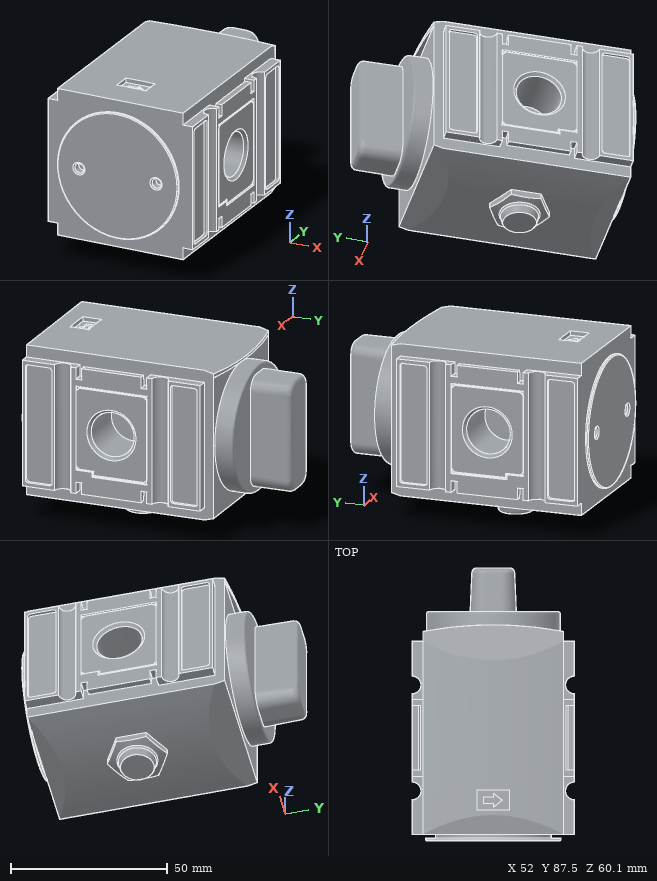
import cadquery as cq
import math


BODY_WIDTH = 45.15
BODY_DEPTH = 61.95
SIDE_HEIGHT = 50.9
DOME_HEIGHT = 54.25
DOME_FLAT_HALF_LENGTH = 24.8

COLLAR_LENGTH = 3.15
LIP_BOW = 2.1
LIP_BOTTOM_Z = 23.2

KNOB_BASE_DIAMETER = 43.0
KNOB_BASE_END_Y = 40.5
KNOB_BASE_ROUND = 0.8
GRIP_END_Y = 54.5
GRIP_HALF_HEIGHT = 19.0
GRIP_FLAT_HALF_WIDTH = 2.5
GRIP_ROOT_HALF_WIDTH = 7.4
GRIP_TIP_HALF_WIDTH = 6.8
GRIP_END_ROUND = 1.75

CAP_END_Y = -33.0
CAP_THICKNESS = 0.9
CAP_DIAMETER = 43.5
CAP_CHAMFER = 0.35
CAP_NECK_DIAMETER = 37.2
PIN_HOLE_SPACING = 27.7
PIN_HOLE_DIAMETER = 3.2
PIN_HOLE_CHAMFER = 0.5
PIN_HOLE_DEPTH = 3.1

PLATE_OUTER_WIDTH = 52.0
PLATE_HEIGHT = 42.7
GROOVE_RADIUS = 2.8
GROOVE_Y = 17.0
PANEL_WIDTH = 9.3
PANEL_HEIGHT = 40.1
PANEL_Y = 25.3
PANEL_DEPTH = 1.1
PANEL_CORNER_RADIUS = 1.05

TAB_HALF_LENGTH = 10.3
TAB_GAP_HALF_LENGTH = 12.3
TAB_ROOT_Z = 17.5
TAB_TIP_THICKNESS = 2.1
TAB_ROOT_THICKNESS = 2.7

PAD_HALF_WIDTH = 12.3
PAD_HALF_HEIGHT = 15.05
PAD_STEP_Y = -6.7
PAD_STEP_HEIGHT = 1.7
PAD_INSET = 0.5
PAD_STEP_INSET = 0.3
PAD_CORNER_CHAMFER = 1.05
PAD_SINK = 0.2
PAD_GROOVE_DEPTH = 0.7
PORT_DIAMETER = 15.0
PORT_CHAMFER = 1.05
PORT_DEPTH = 17.5

POCKET_WIDTH = 10.4
POCKET_LENGTH = 6.4
POCKET_Y = -19.95
POCKET_FLOOR_Z = 25.55
ARROW_DEPTH = 0.5
ARROW_TAIL_X = -3.15
ARROW_NECK_X = 0.1
ARROW_TIP_X = 2.9
ARROW_SHAFT_HALF_WIDTH = 1.05
ARROW_HEAD_HALF_WIDTH = 2.2

HEX_ACROSS_FLATS = 17.15
HEX_CHAMFER_TOP_RADIUS = 10.15
HEX_CHAMFER_TOP_Z = -28.7
PLUG_SHOULDER_RADIUS = 6.6
PLUG_SHOULDER_Z = -29.75
PLUG_ROOT_RADIUS = 6.1
PLUG_ROOT_Z = -30.45
PLUG_TIP_RADIUS = 5.4
PLUG_END_Z = -33.0
PLUG_TIP_CHAMFER_HEIGHT = 0.5
PLUG_TIP_CHAMFER_WIDTH = 0.3

HALF_WIDTH = BODY_WIDTH / 2
HALF_DEPTH = BODY_DEPTH / 2
HALF_SIDE = SIDE_HEIGHT / 2
HALF_DOME = DOME_HEIGHT / 2
PLATE_X = PLATE_OUTER_WIDTH / 2
COLLAR_END_Y = HALF_DEPTH + COLLAR_LENGTH


def block(x_range, y_range, z_range):
    """Axis-aligned box from its limits on each axis."""
    size = [high - low for low, high in (x_range, y_range, z_range)]
    low_corner = (x_range[0], y_range[0], z_range[0])
    return cq.Workplane("XY").box(*size, centered=False).translate(low_corner)


def cylinder_y(diameter, start_y, end_y):
    """Cylinder about the Y axis."""
    return cq.Workplane("XZ", origin=(0, start_y, 0)).circle(diameter / 2).extrude(start_y - end_y)


def make_body():
    """Body and collar: bowed top and bottom, with planes sloping down to the two ends."""
    slope = (HALF_DOME - HALF_SIDE) / (HALF_DEPTH - DOME_FLAT_HALF_LENGTH)
    collar_top = HALF_SIDE - slope * COLLAR_LENGTH
    lip_end = COLLAR_END_Y + LIP_BOW
    lip_top = HALF_SIDE - slope * (lip_end - HALF_DEPTH)

    side_outline = (
        cq.Workplane("YZ", origin=(-HALF_WIDTH, 0, 0))
        .polyline([
            (-HALF_DEPTH, -HALF_SIDE),
            (-DOME_FLAT_HALF_LENGTH, -HALF_DOME),
            (DOME_FLAT_HALF_LENGTH, -HALF_DOME),
            (COLLAR_END_Y, -collar_top),
            (COLLAR_END_Y, LIP_BOTTOM_Z),
            (lip_end, LIP_BOTTOM_Z),
            (lip_end, lip_top),
            (DOME_FLAT_HALF_LENGTH, HALF_DOME),
            (-DOME_FLAT_HALF_LENGTH, HALF_DOME),
            (-HALF_DEPTH, HALF_SIDE),
        ])
        .close()
        .extrude(BODY_WIDTH)
    )
    bowed_section = (
        cq.Workplane("XZ", origin=(0, -HALF_DEPTH, 0))
        .moveTo(-HALF_WIDTH, -HALF_SIDE)
        .threePointArc((0, -HALF_DOME), (HALF_WIDTH, -HALF_SIDE))
        .lineTo(HALF_WIDTH, HALF_SIDE)
        .threePointArc((0, HALF_DOME), (-HALF_WIDTH, HALF_SIDE))
        .close()
        .extrude(-(lip_end + HALF_DEPTH))
    )
    bowed_plan = (
        cq.Workplane("XY", origin=(0, 0, -HALF_DOME))
        .moveTo(-HALF_WIDTH, -HALF_DEPTH)
        .lineTo(HALF_WIDTH, -HALF_DEPTH)
        .lineTo(HALF_WIDTH, COLLAR_END_Y)
        .threePointArc((0, lip_end), (-HALF_WIDTH, COLLAR_END_Y))
        .close()
        .extrude(DOME_HEIGHT)
    )
    return side_outline.intersect(bowed_section).intersect(bowed_plan)


def make_grip():
    """Knob grip: its two broad sides draw in towards the end, and its corners are round."""
    def section(plane, half_width):
        radius = half_width - GRIP_FLAT_HALF_WIDTH
        side_z = GRIP_HALF_HEIGHT - radius
        reach = radius * math.sqrt(0.5)
        mid_x = GRIP_FLAT_HALF_WIDTH + reach
        mid_z = side_z + reach
        return (
            plane.moveTo(-GRIP_FLAT_HALF_WIDTH, GRIP_HALF_HEIGHT)
            .lineTo(GRIP_FLAT_HALF_WIDTH, GRIP_HALF_HEIGHT)
            .threePointArc((mid_x, mid_z), (half_width, side_z))
            .lineTo(half_width, -side_z)
            .threePointArc((mid_x, -mid_z), (GRIP_FLAT_HALF_WIDTH, -GRIP_HALF_HEIGHT))
            .lineTo(-GRIP_FLAT_HALF_WIDTH, -GRIP_HALF_HEIGHT)
            .threePointArc((-mid_x, -mid_z), (-half_width, -side_z))
            .lineTo(-half_width, side_z)
            .threePointArc((-mid_x, mid_z), (-GRIP_FLAT_HALF_WIDTH, GRIP_HALF_HEIGHT))
            .close()
        )

    root = section(cq.Workplane("XZ", origin=(0, KNOB_BASE_END_Y, 0)), GRIP_ROOT_HALF_WIDTH)
    tip_plane = root.workplane(offset=KNOB_BASE_END_Y - GRIP_END_Y)
    grip = section(tip_plane, GRIP_TIP_HALF_WIDTH).loft(ruled=True)
    return grip.faces(">Y").edges().fillet(GRIP_END_ROUND)


def make_knob():
    """Round knob base with a softened end edge, carrying the grip."""
    base = cylinder_y(KNOB_BASE_DIAMETER, HALF_DEPTH, KNOB_BASE_END_Y)
    base = base.faces(">Y").edges().fillet(KNOB_BASE_ROUND)
    return base.union(make_grip())


def make_end_cap():
    """Thin disc with a chamfered front edge, on a narrower neck."""
    disc_back_y = CAP_END_Y + CAP_THICKNESS
    neck = cylinder_y(CAP_NECK_DIAMETER, -HALF_DEPTH, disc_back_y)
    disc = cylinder_y(CAP_DIAMETER, disc_back_y, CAP_END_Y)
    disc = disc.faces("<Y").edges().chamfer(CAP_CHAMFER)
    return neck.union(disc)


def make_pin_holes():
    """Blind pin holes in the end cap, each with a conical mouth."""
    radius = PIN_HOLE_DIAMETER / 2
    mouth_radius = radius + PIN_HOLE_CHAMFER
    mouth = cq.Solid.makeCone(
        mouth_radius, radius, PIN_HOLE_CHAMFER, cq.Vector(0, CAP_END_Y, 0), cq.Vector(0, 1, 0)
    )
    hole = cylinder_y(PIN_HOLE_DIAMETER, CAP_END_Y, CAP_END_Y + PIN_HOLE_DEPTH).union(cq.Workplane(mouth))
    offset = PIN_HOLE_SPACING / 2
    return hole.translate((-offset, 0, 0)).union(hole.translate((offset, 0, 0)))


def make_tab_cuts():
    """Cuts that leave a clip tab at the upper edge of the -X plate."""
    top_z = PLATE_HEIGHT / 2
    cuts = (
        cq.Workplane("XZ", origin=(0, TAB_HALF_LENGTH, 0))
        .polyline([
            (-HALF_WIDTH, TAB_ROOT_Z),
            (-HALF_WIDTH, top_z),
            (-PLATE_X + TAB_TIP_THICKNESS, top_z),
            (-PLATE_X + TAB_ROOT_THICKNESS, TAB_ROOT_Z),
        ])
        .close()
        .extrude(2 * TAB_HALF_LENGTH)
    )
    for y_range in (
        (-TAB_GAP_HALF_LENGTH, -TAB_HALF_LENGTH),
        (TAB_HALF_LENGTH, TAB_GAP_HALF_LENGTH),
    ):
        cuts = cuts.union(block((-PLATE_X, -HALF_WIDTH), y_range, (TAB_ROOT_Z, top_z)))
    return cuts


def make_pad_pocket():
    """Sunk port pad in the -X plate, with a deeper groove along its upper and lower edges."""
    step_z = -PAD_HALF_HEIGHT + PAD_STEP_HEIGHT
    frame = (
        cq.Workplane("YZ", origin=(-PLATE_X, 0, 0))
        .polyline([
            (PAD_HALF_WIDTH, PAD_HALF_HEIGHT),
            (PAD_HALF_WIDTH, -PAD_HALF_HEIGHT),
            (PAD_STEP_Y, -PAD_HALF_HEIGHT),
            (PAD_STEP_Y, step_z),
            (-PAD_HALF_WIDTH, step_z),
            (-PAD_HALF_WIDTH, PAD_HALF_HEIGHT),
        ])
        .close()
        .extrude(PAD_GROOVE_DEPTH)
    )
    pad_top = PAD_HALF_HEIGHT - PAD_INSET
    pad_step_y = PAD_STEP_Y + PAD_INSET
    pad_step_z = step_z + PAD_STEP_INSET
    chamfered_y = PAD_HALF_WIDTH - PAD_CORNER_CHAMFER
    pad = (
        cq.Workplane("YZ", origin=(-PLATE_X + PAD_SINK, 0, 0))
        .polyline([
            (chamfered_y, pad_top),
            (PAD_HALF_WIDTH, pad_top - PAD_CORNER_CHAMFER),
            (PAD_HALF_WIDTH, -pad_top + PAD_CORNER_CHAMFER),
            (chamfered_y, -pad_top),
            (pad_step_y, -pad_top),
            (pad_step_y, pad_step_z),
            (-chamfered_y, pad_step_z),
            (-PAD_HALF_WIDTH, pad_step_z + PAD_CORNER_CHAMFER),
            (-PAD_HALF_WIDTH, pad_top - PAD_CORNER_CHAMFER),
            (-chamfered_y, pad_top),
        ])
        .close()
        .extrude(PAD_GROOVE_DEPTH - PAD_SINK)
    )
    return frame.cut(pad)


def make_plate():
    """Connection plate on the -X side."""
    half_height = PLATE_HEIGHT / 2
    plate = block((-PLATE_X, -HALF_WIDTH), (-HALF_DEPTH, HALF_DEPTH), (-half_height, half_height))

    for side in (-1, 1):
        groove = (
            cq.Workplane("XY", origin=(-PLATE_X, side * GROOVE_Y, -half_height))
            .circle(GROOVE_RADIUS)
            .extrude(PLATE_HEIGHT)
        )
        panel = (
            cq.Workplane("YZ", origin=(-PLATE_X, side * PANEL_Y, 0))
            .rect(PANEL_WIDTH, PANEL_HEIGHT)
            .extrude(PANEL_DEPTH)
            .edges("|X")
            .fillet(PANEL_CORNER_RADIUS)
        )
        plate = plate.cut(groove).cut(panel)

    tab_cuts = make_tab_cuts()
    return plate.cut(tab_cuts).cut(tab_cuts.mirror("XY")).cut(make_pad_pocket())


def make_port():
    """Blind port bored from the -X pad, with a chamfered mouth."""
    pad_x = -PLATE_X + PAD_SINK
    radius = PORT_DIAMETER / 2
    return (
        cq.Workplane("XZ")
        .polyline([
            (-PLATE_X, 0),
            (-PLATE_X, radius + PORT_CHAMFER),
            (pad_x, radius + PORT_CHAMFER),
            (pad_x + PORT_CHAMFER, radius),
            (pad_x + PORT_DEPTH, radius),
            (pad_x + PORT_DEPTH, 0),
        ])
        .close()
        .revolve(360, (0, 0), (1, 0))
    )


def make_arrow_pocket():
    """Rectangular pocket in the top face with an arrow sunk into its floor."""
    pocket = (
        cq.Workplane("XY", origin=(0, POCKET_Y, POCKET_FLOOR_Z))
        .rect(POCKET_WIDTH, POCKET_LENGTH)
        .extrude(HALF_DOME - POCKET_FLOOR_Z)
    )
    arrow = (
        cq.Workplane("XY", origin=(0, POCKET_Y, POCKET_FLOOR_Z))
        .polyline([
            (ARROW_TAIL_X, -ARROW_SHAFT_HALF_WIDTH),
            (ARROW_NECK_X, -ARROW_SHAFT_HALF_WIDTH),
            (ARROW_NECK_X, -ARROW_HEAD_HALF_WIDTH),
            (ARROW_TIP_X, 0),
            (ARROW_NECK_X, ARROW_HEAD_HALF_WIDTH),
            (ARROW_NECK_X, ARROW_SHAFT_HALF_WIDTH),
            (ARROW_TAIL_X, ARROW_SHAFT_HALF_WIDTH),
        ])
        .close()
        .extrude(-ARROW_DEPTH)
    )
    return pocket.union(arrow)


def make_drain_plug():
    """Hexagon with corners on +Y and -Y, trimmed by a cone, above a tapered round tip."""
    corner_diameter = HEX_ACROSS_FLATS / math.cos(math.pi / 6)
    hexagon = (
        cq.Workplane("XY", origin=(0, 0, PLUG_END_Z))
        .polygon(6, corner_diameter)
        .extrude(-HALF_SIDE - PLUG_END_Z)
        .rotate((0, 0, 0), (0, 0, 1), 90)
    )
    turned = (
        cq.Workplane("XZ")
        .polyline([
            (0, -HALF_SIDE),
            (HEX_CHAMFER_TOP_RADIUS, -HALF_SIDE),
            (HEX_CHAMFER_TOP_RADIUS, HEX_CHAMFER_TOP_Z),
            (PLUG_SHOULDER_RADIUS, PLUG_SHOULDER_Z),
            (PLUG_ROOT_RADIUS, PLUG_ROOT_Z),
            (PLUG_TIP_RADIUS + PLUG_TIP_CHAMFER_WIDTH, PLUG_END_Z + PLUG_TIP_CHAMFER_HEIGHT),
            (PLUG_TIP_RADIUS, PLUG_END_Z),
            (0, PLUG_END_Z),
        ])
        .close()
        .revolve(360, (0, 0), (0, 1))
    )
    return hexagon.intersect(turned)


plate = make_plate()
port = make_port()

result = make_body()
for feature in (plate, plate.mirror("YZ"), make_knob(), make_end_cap(), make_drain_plug()):
    result = result.union(feature)
for opening in (port, port.mirror("YZ"), make_pin_holes(), make_arrow_pocket()):
    result = result.cut(opening)